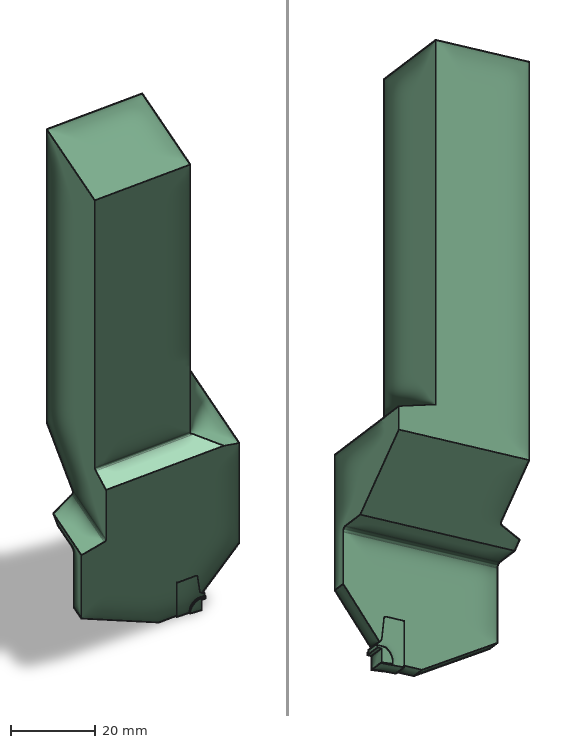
import cadquery as cq
import math

total_height = 152.4
shank_size = 25.5

head_right = 31.4
total_depth = 42.0
front_overhang = 6.5
head_front = -front_overhang
head_back = total_depth - front_overhang
shoulder_angle = 15.0
shoulder_slope = math.tan(math.radians(shoulder_angle))
rear_shoulder_z = 56.7
front_shoulder_z = 36.9
corner_radius = 0.6

head_bottom = 33.2
underside_start_z = 47.9
underside_end_x = 18.9

blade_thickness = 4.1
blade_left = head_right - blade_thickness
blade_root_radius = 1.0
blade_bottom = 0.8
blade_back_corner_z = 18.5
blade_front_corner_z = 12.5
blade_toe_y = 14.0

insert_front = 18.9
insert_bottom = 0.3
insert_top = 12.5
insert_top_back = 24.4
insert_top_radius = 0.6
insert_neck_y = 25.0
insert_neck_z = 6.2
blade_end_y = 25.6
blade_end_z = 5.5
nose_y = 26.4
nose_top = 4.9
nose_bottom = 3.7
cutting_face_y = 25.3
tip_side_overhang = 0.5
tip_top = 4.3
tip_flat_y = 24.4
tip_arc_mid_y = 22.9
tip_arc_mid_z = 2.9
tip_front = 22.3

side_plane = cq.Workplane("YZ")


def make_shank_and_head():
    """Front outline of the shank and head, trimmed by the sloped shoulders."""
    right_drop = (head_right - shank_size) * shoulder_slope
    front_outline = (
        cq.Workplane("XZ", origin=(0, head_back, 0))
        .moveTo(0, total_height)
        .lineTo(shank_size, total_height)
        .lineTo(shank_size, rear_shoulder_z)
        .lineTo(head_right, rear_shoulder_z - right_drop)
        .lineTo(head_right, head_bottom)
        .lineTo(underside_end_x, head_bottom)
        .lineTo(0, underside_start_z)
        .close()
        .extrude(total_depth)
        .edges(cq.selectors.BoxSelector(
            (shank_size - corner_radius, head_front, rear_shoulder_z - corner_radius),
            (shank_size + corner_radius, head_back, rear_shoulder_z + corner_radius),
        ))
        .fillet(corner_radius)
    )
    back_drop = (head_back - shank_size) * shoulder_slope
    front_drop = front_overhang * shoulder_slope
    side_outline = (
        side_plane
        .moveTo(0, total_height)
        .lineTo(shank_size, total_height)
        .lineTo(shank_size, rear_shoulder_z)
        .lineTo(head_back, rear_shoulder_z - back_drop)
        .lineTo(head_back, head_bottom)
        .lineTo(head_front, head_bottom)
        .lineTo(head_front, front_shoulder_z - front_drop)
        .lineTo(0, front_shoulder_z)
        .close()
        .extrude(head_right)
        .edges(cq.selectors.BoxSelector(
            (0, -corner_radius, front_shoulder_z - corner_radius),
            (head_right, corner_radius, front_shoulder_z + corner_radius),
        ))
        .fillet(corner_radius)
    )
    return front_outline.intersect(side_outline)


def make_blade():
    """Tapered plate that hangs from the right side of the head."""
    return (
        side_plane.workplane(offset=blade_left)
        .moveTo(head_front, head_bottom)
        .lineTo(head_back, head_bottom)
        .lineTo(head_back, blade_back_corner_z)
        .lineTo(blade_end_y, blade_end_z)
        .lineTo(blade_end_y, blade_bottom)
        .lineTo(blade_toe_y, blade_bottom)
        .lineTo(head_front, blade_front_corner_z)
        .close()
        .extrude(blade_thickness)
    )


def make_insert_seat():
    """Space in the blade for the insert, open at the back and bottom."""
    return (
        side_plane.workplane(offset=blade_left)
        .moveTo(insert_front, 0)
        .lineTo(insert_front, insert_top)
        .lineTo(insert_top_back - insert_top_radius, insert_top)
        .radiusArc((insert_top_back, insert_top - insert_top_radius), insert_top_radius)
        .lineTo(insert_neck_y, insert_neck_z)
        .lineTo(blade_end_y, blade_end_z)
        .lineTo(nose_y, nose_top)
        .lineTo(nose_y, 0)
        .close()
        .extrude(blade_thickness)
    )


def make_holder():
    """Shank, head and blade with the insert seat removed."""
    holder = make_shank_and_head().union(make_blade())
    blade_root = cq.selectors.BoxSelector(
        (blade_left - corner_radius, head_front, head_bottom - corner_radius),
        (blade_left + corner_radius, head_back, head_bottom + corner_radius),
    )
    return holder.edges(blade_root).fillet(blade_root_radius).cut(make_insert_seat())


def make_insert():
    """Insert body flush with the blade, with a wider cutting tip."""
    body = (
        side_plane.workplane(offset=blade_left)
        .moveTo(insert_front, insert_bottom)
        .lineTo(insert_front, insert_top)
        .lineTo(insert_top_back - insert_top_radius, insert_top)
        .radiusArc((insert_top_back, insert_top - insert_top_radius), insert_top_radius)
        .lineTo(insert_neck_y, insert_neck_z)
        .lineTo(blade_end_y, blade_end_z)
        .lineTo(nose_y, nose_top)
        .lineTo(nose_y, nose_bottom)
        .lineTo(cutting_face_y, nose_bottom)
        .lineTo(cutting_face_y, 0)
        .close()
        .extrude(blade_thickness)
    )
    tip = (
        side_plane.workplane(offset=blade_left - tip_side_overhang)
        .moveTo(cutting_face_y, 0)
        .lineTo(cutting_face_y, nose_bottom)
        .lineTo(nose_y, nose_bottom)
        .lineTo(nose_y, tip_top)
        .lineTo(tip_flat_y, tip_top)
        .threePointArc((tip_arc_mid_y, tip_arc_mid_z), (tip_front, insert_bottom))
        .close()
        .extrude(blade_thickness + 2 * tip_side_overhang)
    )
    return body.union(tip)


holder = make_holder()
insert = make_insert()
result = cq.Compound.makeCompound([holder.solids().val(), insert.solids().val()])